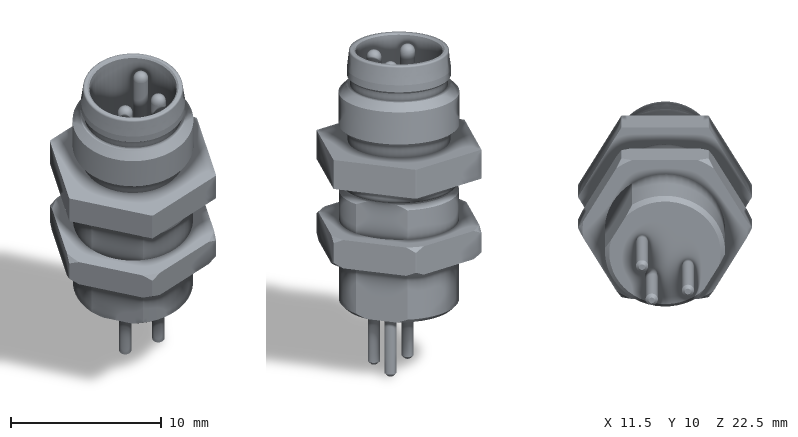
import cadquery as cq
import math

TOTAL_HEIGHT = 22.5
BODY_BOTTOM = 4.5
FLANGE_BOTTOM = 8.45
FLANGE_TOP = 10.46
BODY_TOP = 12.82
NUT_BOTTOM = 14.0
NUT_TOP = 16.05
COLLAR_BOTTOM = 17.0
COLLAR_TOP = 20.0
RIM_BOTTOM = 20.55
RIM_TAPER_START = 21.2

HEX_ACROSS_FLATS = 10.0
HEX_CORNER_DIAMETER = 11.5
FLANGE_CHAMFER = 0.3

BODY_DIAMETER = 7.96
BODY_CHAMFER = 0.3
BODY_ACROSS_FLATS = 7.1

RING_SECTION = 1.0
RING_OUTER_DIAMETER = 8.0
RING_NECK_DIAMETER = 6.7

NECK_DIAMETER = 6.8
COLLAR_DIAMETER = 8.0
COLLAR_TOP_CHAMFER = 0.52
COLLAR_BOTTOM_CHAMFER = 0.2
GROOVE_DIAMETER = 6.5
RIM_DIAMETER = 6.9
RIM_BOTTOM_CHAMFER = 0.15
RIM_TIP_DIAMETER = 6.6
RIM_FILLET = 0.14

SOCKET_DIAMETER = 5.8
SOCKET_DEPTH = 6.0
SOCKET_MOUTH_CHAMFER = 0.11
INSERT_CHAMFER = 0.27

PIN_CIRCLE_RADIUS = 1.75
PIN_ANGLES = (-90, 0, 90)
CONTACT_DIAMETER = 1.0
CONTACT_TOP = 22.2
TAIL_DIAMETER = 0.8
TAIL_CHAMFER = 0.2


def cylinder(diameter, bottom, top):
    return cq.Workplane("XY").workplane(offset=bottom).circle(diameter / 2).extrude(top - bottom)


def hexagon(bottom, top):
    """Hexagonal plate with corners on the X axis, left sharp."""
    sharp_diameter = HEX_ACROSS_FLATS / math.cos(math.pi / 6)
    return cq.Workplane("XY").workplane(offset=bottom).polygon(6, sharp_diameter).extrude(top - bottom)


def nut():
    return hexagon(NUT_BOTTOM, NUT_TOP).intersect(cylinder(HEX_CORNER_DIAMETER, NUT_BOTTOM, NUT_TOP))


def flange():
    """Chamfered hexagon with a round bore, leaving a gap beside each flat of the body."""
    envelope = cylinder(HEX_CORNER_DIAMETER, FLANGE_BOTTOM, FLANGE_TOP).edges().chamfer(FLANGE_CHAMFER)
    bore = cylinder(BODY_DIAMETER, FLANGE_BOTTOM, FLANGE_TOP)
    return hexagon(FLANGE_BOTTOM, FLANGE_TOP).intersect(envelope).cut(bore)


def body():
    barrel = cylinder(BODY_DIAMETER, BODY_BOTTOM, BODY_TOP).edges().chamfer(BODY_CHAMFER)
    height = BODY_TOP - BODY_BOTTOM
    slab = cq.Workplane("XY").box(BODY_DIAMETER, BODY_ACROSS_FLATS, height)
    return barrel.intersect(slab.translate((0, 0, BODY_BOTTOM + height / 2)))


def sealing_ring():
    center_radius = (RING_OUTER_DIAMETER - RING_SECTION) / 2
    center_height = (BODY_TOP + NUT_BOTTOM) / 2
    ring = cq.Solid.makeTorus(center_radius, RING_SECTION / 2, cq.Vector(0, 0, center_height))
    return cylinder(RING_NECK_DIAMETER, BODY_TOP, NUT_BOTTOM).union(cq.Workplane(ring))


def collar():
    ring = cylinder(COLLAR_DIAMETER, COLLAR_BOTTOM, COLLAR_TOP)
    ring = ring.faces(">Z").edges().chamfer(COLLAR_TOP_CHAMFER)
    return ring.faces("<Z").edges().chamfer(COLLAR_BOTTOM_CHAMFER)


def plug_rim():
    rim_radius = RIM_DIAMETER / 2
    profile = (
        cq.Workplane("XZ")
        .moveTo(0, RIM_BOTTOM)
        .lineTo(rim_radius - RIM_BOTTOM_CHAMFER, RIM_BOTTOM)
        .lineTo(rim_radius, RIM_BOTTOM + RIM_BOTTOM_CHAMFER)
        .lineTo(rim_radius, RIM_TAPER_START)
        .lineTo(RIM_TIP_DIAMETER / 2, TOTAL_HEIGHT)
        .lineTo(0, TOTAL_HEIGHT)
        .close()
    )
    return profile.revolve(360, (0, 0, 0), (0, 1, 0)).faces(">Z").edges().fillet(RIM_FILLET)


def socket():
    """Cavity in the plug rim, with a chamfered mouth and a chamfered insert as its floor."""
    floor = TOTAL_HEIGHT - SOCKET_DEPTH
    bore = cylinder(SOCKET_DIAMETER, floor - INSERT_CHAMFER, TOTAL_HEIGHT)
    mouth_radius = SOCKET_DIAMETER / 2 + SOCKET_MOUTH_CHAMFER
    mouth = cq.Solid.makeCone(
        SOCKET_DIAMETER / 2, mouth_radius, SOCKET_MOUTH_CHAMFER,
        cq.Vector(0, 0, TOTAL_HEIGHT - SOCKET_MOUTH_CHAMFER),
    )
    insert = cylinder(SOCKET_DIAMETER, floor - 2 * INSERT_CHAMFER, floor)
    insert = insert.faces(">Z").edges().chamfer(INSERT_CHAMFER)
    return bore.union(cq.Workplane(mouth)).cut(insert)


def pin():
    """Domed contact in the socket, continued by a thinner tail below the body."""
    contact = cylinder(CONTACT_DIAMETER, NUT_TOP, CONTACT_TOP - CONTACT_DIAMETER / 2)
    dome = cq.Workplane("XY").sphere(CONTACT_DIAMETER / 2)
    dome = dome.translate((0, 0, CONTACT_TOP - CONTACT_DIAMETER / 2))
    tail = cylinder(TAIL_DIAMETER, 0, NUT_TOP).faces("<Z").edges().chamfer(TAIL_CHAMFER)
    return tail.union(contact).union(dome)


neck = cylinder(NECK_DIAMETER, NUT_TOP, COLLAR_BOTTOM)
groove = cylinder(GROOVE_DIAMETER, COLLAR_TOP, RIM_BOTTOM)

result = body()
for section in (flange(), sealing_ring(), nut(), neck, collar(), groove, plug_rim()):
    result = result.union(section)
result = result.cut(socket())

for angle in PIN_ANGLES:
    x = PIN_CIRCLE_RADIUS * math.cos(math.radians(angle))
    y = PIN_CIRCLE_RADIUS * math.sin(math.radians(angle))
    result = result.union(pin().translate((x, y, 0)))